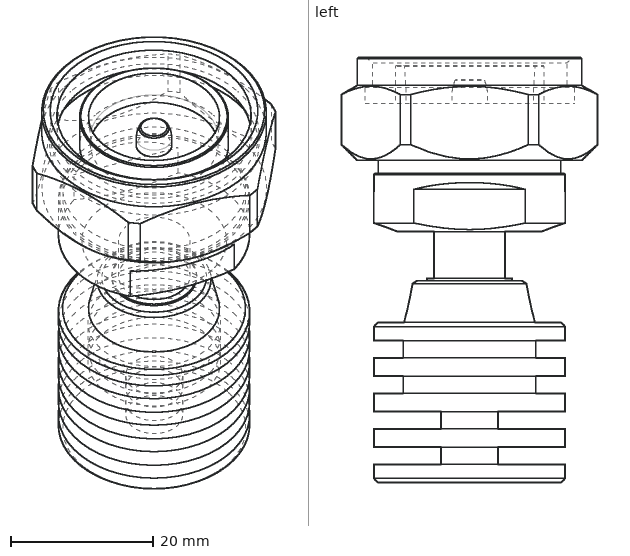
import cadquery as cq
import math

TOTAL_HEIGHT = 59.85

DISC_RADIUS = 13.45
FIN_COUNT = 5
STACK_TOP = 22.55
FIN_THICKNESS = 2.6
FIN_PITCH = (STACK_TOP - FIN_THICKNESS) / (FIN_COUNT - 1)
FIN_CHAMFER = 0.6
LOWER_CORE_RADIUS = 4.0
UPPER_CORE_RADIUS = 9.35
UPPER_CORE_BASE = 2 * FIN_PITCH

BOSS_BASE_RADIUS = 9.2
BOSS_SHOULDER_RADIUS = 8.0
BOSS_SHOULDER_Z = 28.0
BOSS_TOP_RADIUS = 7.35
BOSS_TOP_Z = 28.4
STEP_RADIUS = 6.0
STEP_TOP_Z = 28.7
STEM_RADIUS = 5.0

CLAMP_BASE_Z = 35.3
CLAMP_TOP_Z = 43.5
CLAMP_BASE_RADIUS = 10.2
CLAMP_BASE_ANGLE = 20.0
CLAMP_TOP_CHAMFER = 0.2
FLAT_OFFSET = 10.95
FLAT_TOP_Z = 41.25
FLAT_RUNOUT_ANGLE = 21.0
CUT_CLEARANCE = 0.6
NECK_RADIUS = 12.85

NUT_BASE_Z = 45.3
HEX_ACROSS_FLATS = 32.0
HEX_CORNER_RADIUS = 18.0
COLLAR_RADIUS = 15.8
HEX_LOWER_CORNER_Z = NUT_BASE_Z + HEX_CORNER_RADIUS - COLLAR_RADIUS
HEX_UPPER_CORNER_Z = 54.6
HEX_TOP_ANGLE = 30.0
COLLAR_CHAMFER = 0.25

SOCKET_RADIUS = 13.65
SOCKET_MOUTH_RADIUS = 14.6
SOCKET_MOUTH_DEPTH = 0.8
SOCKET_RELIEF_RADIUS = 14.7
SOCKET_RELIEF_TOP_Z = 55.6
SOCKET_FLOOR_Z = 53.4
SLEEVE_RADIUS = 10.5
SLEEVE_TOP_Z = 58.7
SLEEVE_CHAMFER = 0.2
SLEEVE_MOUTH_RADIUS = 9.2
SLEEVE_BORE_RADIUS = 9.0
SLEEVE_TAPER_END_Z = 54.9
PIN_RADIUS = 2.5
PIN_NOSE_RADIUS = 2.1
PIN_TIP_RADIUS = 1.85
PIN_SHOULDER_Z = 54.7
PIN_NOSE_Z = 56.55
PIN_TOP_Z = 56.75


def revolve(points):
    """Solid of revolution about Z from (radius, z) points."""
    return cq.Workplane("XZ").polyline(points).close().revolve(360, (0, 0, 0), (0, 1, 0))


def cylinder(radius, bottom, top):
    return cq.Workplane("XY").workplane(offset=bottom).circle(radius).extrude(top - bottom)


def make_fin_stack():
    stack = cylinder(LOWER_CORE_RADIUS, 0, STACK_TOP)
    stack = stack.union(cylinder(UPPER_CORE_RADIUS, UPPER_CORE_BASE, STACK_TOP))
    for index in range(FIN_COUNT):
        bottom = index * FIN_PITCH
        fin = cylinder(DISC_RADIUS, bottom, bottom + FIN_THICKNESS)
        if index == 0:
            fin = fin.faces("<Z").chamfer(FIN_CHAMFER)
        if index == FIN_COUNT - 1:
            fin = fin.faces(">Z").chamfer(FIN_CHAMFER)
        stack = stack.union(fin)
    return stack


def make_boss_and_stem():
    return revolve([
        (0, STACK_TOP),
        (BOSS_BASE_RADIUS, STACK_TOP),
        (BOSS_SHOULDER_RADIUS, BOSS_SHOULDER_Z),
        (BOSS_TOP_RADIUS, BOSS_TOP_Z),
        (STEP_RADIUS, BOSS_TOP_Z),
        (STEP_RADIUS, STEP_TOP_Z),
        (STEM_RADIUS, STEP_TOP_Z),
        (STEM_RADIUS, CLAMP_BASE_Z),
        (0, CLAMP_BASE_Z),
    ])


def make_flat_cutter():
    """Wedge-topped block that cuts the wrench flat on the +X side."""
    outer = DISC_RADIUS + CUT_CLEARANCE
    runout_rise = (outer - FLAT_OFFSET) * math.tan(math.radians(FLAT_RUNOUT_ANGLE))
    return (
        cq.Workplane("XZ")
        .polyline([
            (FLAT_OFFSET, CLAMP_BASE_Z),
            (outer, CLAMP_BASE_Z),
            (outer, FLAT_TOP_Z + runout_rise),
            (FLAT_OFFSET, FLAT_TOP_Z),
        ])
        .close()
        .extrude(DISC_RADIUS, both=True)
    )


def make_clamp():
    base_rise = (DISC_RADIUS - CLAMP_BASE_RADIUS) * math.tan(math.radians(CLAMP_BASE_ANGLE))
    clamp = revolve([
        (0, CLAMP_BASE_Z),
        (CLAMP_BASE_RADIUS, CLAMP_BASE_Z),
        (DISC_RADIUS, CLAMP_BASE_Z + base_rise),
        (DISC_RADIUS, CLAMP_TOP_Z - CLAMP_TOP_CHAMFER),
        (DISC_RADIUS - CLAMP_TOP_CHAMFER, CLAMP_TOP_Z),
        (NECK_RADIUS, CLAMP_TOP_Z),
        (NECK_RADIUS, NUT_BASE_Z),
        (0, NUT_BASE_Z),
    ])
    cutter = make_flat_cutter()
    return clamp.cut(cutter).cut(cutter.mirror("YZ"))


def make_nut():
    top_rise = (HEX_CORNER_RADIUS - COLLAR_RADIUS) * math.tan(math.radians(HEX_TOP_ANGLE))
    turned_blank = revolve([
        (0, NUT_BASE_Z),
        (COLLAR_RADIUS, NUT_BASE_Z),
        (HEX_CORNER_RADIUS, HEX_LOWER_CORNER_Z),
        (HEX_CORNER_RADIUS, HEX_UPPER_CORNER_Z),
        (COLLAR_RADIUS, HEX_UPPER_CORNER_Z + top_rise),
        (COLLAR_RADIUS, TOTAL_HEIGHT - COLLAR_CHAMFER),
        (COLLAR_RADIUS - COLLAR_CHAMFER, TOTAL_HEIGHT),
        (0, TOTAL_HEIGHT),
    ])
    hexagon = (
        cq.Workplane("XY")
        .workplane(offset=NUT_BASE_Z)
        .polygon(6, HEX_ACROSS_FLATS, circumscribed=True)
        .extrude(TOTAL_HEIGHT - NUT_BASE_Z)
    )
    return turned_blank.intersect(hexagon)


def make_socket_cutter():
    return revolve([
        (0, SOCKET_FLOOR_Z),
        (SOCKET_RELIEF_RADIUS, SOCKET_FLOOR_Z),
        (SOCKET_RELIEF_RADIUS, SOCKET_RELIEF_TOP_Z),
        (SOCKET_RADIUS, SOCKET_RELIEF_TOP_Z),
        (SOCKET_RADIUS, TOTAL_HEIGHT - SOCKET_MOUTH_DEPTH),
        (SOCKET_MOUTH_RADIUS, TOTAL_HEIGHT),
        (0, TOTAL_HEIGHT),
    ])


def make_sleeve():
    return cylinder(SLEEVE_RADIUS, SOCKET_FLOOR_Z, SLEEVE_TOP_Z).faces(">Z").chamfer(SLEEVE_CHAMFER)


def make_sleeve_bore_cutter():
    return revolve([
        (0, SOCKET_FLOOR_Z),
        (SLEEVE_BORE_RADIUS, SOCKET_FLOOR_Z),
        (SLEEVE_BORE_RADIUS, SLEEVE_TAPER_END_Z),
        (SLEEVE_MOUTH_RADIUS, SLEEVE_TOP_Z),
        (0, SLEEVE_TOP_Z),
    ])


def make_pin():
    """Contact pin whose side curves in smoothly to a chamfered nose."""
    return (
        cq.Workplane("XZ")
        .moveTo(0, SOCKET_FLOOR_Z)
        .lineTo(PIN_RADIUS, SOCKET_FLOOR_Z)
        .lineTo(PIN_RADIUS, PIN_SHOULDER_Z)
        .tangentArcPoint((PIN_NOSE_RADIUS, PIN_NOSE_Z), relative=False)
        .lineTo(PIN_TIP_RADIUS, PIN_TOP_Z)
        .lineTo(0, PIN_TOP_Z)
        .close()
        .revolve(360, (0, 0, 0), (0, 1, 0))
    )


connector = make_nut().cut(make_socket_cutter())
connector = connector.union(make_sleeve()).cut(make_sleeve_bore_cutter()).union(make_pin())
result = make_fin_stack().union(make_boss_and_stem()).union(make_clamp()).union(connector)